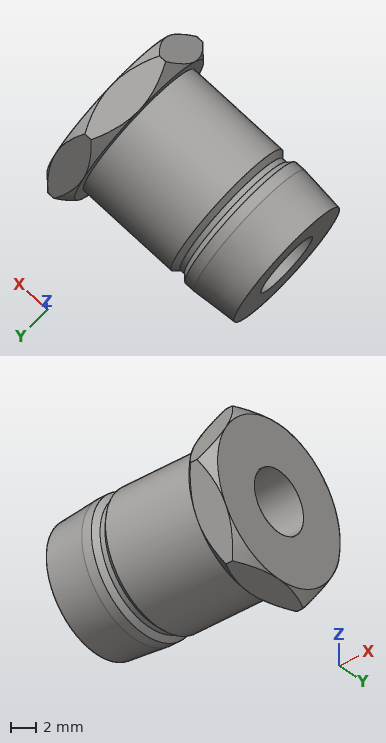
import cadquery as cq
import math

length = 19.0
hex_flats = 15.0
hex_thickness = 3.0
body_radius = 6.5
nose_radius = 6.14
nose_length = 4.0
bore_diameter = 6.0
groove_start = 5.0
groove_depth = 0.5
groove_floor_width = 0.5

hex_corners = hex_flats / math.cos(math.pi / 6)
hex_start = length - hex_thickness


def make_body():
    """Plain shank with a tapered lead-in nose and a groove with 45 degree sides."""
    floor_radius = body_radius - groove_depth
    floor_start = groove_start + groove_depth
    floor_end = floor_start + groove_floor_width
    groove_end = floor_end + groove_depth

    return (
        cq.Workplane("XY")
        .lineTo(0, nose_radius)
        .lineTo(nose_length, body_radius)
        .lineTo(groove_start, body_radius)
        .lineTo(floor_start, floor_radius)
        .lineTo(floor_end, floor_radius)
        .lineTo(groove_end, body_radius)
        .lineTo(length, body_radius)
        .lineTo(length, 0)
        .close()
        .revolve(360, (0, 0), (1, 0))
    )


def make_hex_head():
    """Hexagon with corners on Y, its corners chamfered at 45 degrees on both faces."""
    prism = (
        cq.Workplane("YZ", origin=(hex_start, 0, 0))
        .polygon(6, hex_corners)
        .extrude(hex_thickness)
    )
    corner_chamfer = (hex_corners - hex_flats) / 2
    chamfer_envelope = (
        cq.Workplane("YZ", origin=(hex_start, 0, 0))
        .circle(hex_corners / 2)
        .extrude(hex_thickness)
        .edges("%CIRCLE")
        .chamfer(corner_chamfer)
    )
    return prism.intersect(chamfer_envelope)


bore = cq.Workplane("YZ").circle(bore_diameter / 2).extrude(length)

result = make_body().union(make_hex_head()).cut(bore)